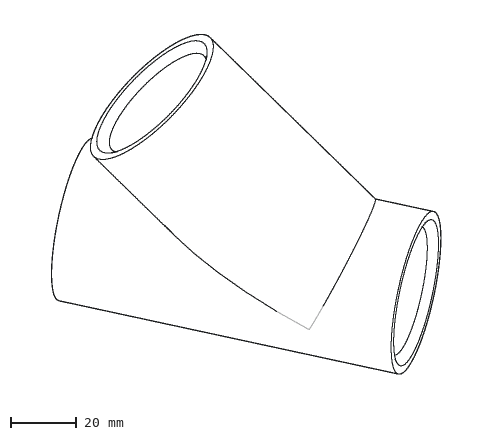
import cadquery as cq

run_length = 108.0
outer_diameter = 50.5
bore_diameter = 40.0
mouth_chamfer = 2.7
junction_x = 82.0
branch_length = 82.0

run_start = cq.Plane(origin=(0, 0, 0), xDir=(0, 1, 0), normal=(1, 0, 0))
run_end = cq.Plane(origin=(run_length, 0, 0), xDir=(0, 1, 0), normal=(-1, 0, 0))
branch_start = cq.Plane(origin=(junction_x, 0, 0), xDir=(0, 1, 0), normal=(-1, 0, 1))
branch_mouth = cq.Plane(
    origin=branch_start.toWorldCoords((0, 0, branch_length)),
    xDir=(0, 1, 0),
    normal=(1, 0, -1),
)


def cylinder(plane, diameter, length):
    return cq.Workplane(plane).circle(diameter / 2).extrude(length)


def mouth_bevel(plane):
    """Cone that narrows to the bore diameter, going inward from an open end."""
    mouth_diameter = bore_diameter + 2 * mouth_chamfer
    return (
        cq.Workplane(plane)
        .circle(mouth_diameter / 2)
        .workplane(offset=mouth_chamfer)
        .circle(bore_diameter / 2)
        .loft()
    )


body = cylinder(run_start, outer_diameter, run_length)
body = body.union(cylinder(branch_start, outer_diameter, branch_length))

body = body.cut(cylinder(run_start, bore_diameter, run_length))
body = body.cut(cylinder(branch_start, bore_diameter, branch_length))

for open_end in (run_start, run_end, branch_mouth):
    body = body.cut(mouth_bevel(open_end))

result = body